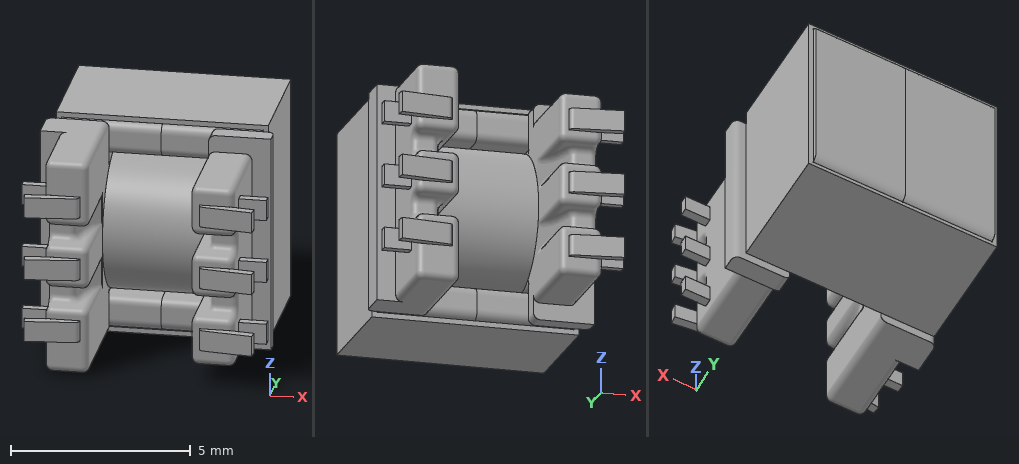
import cadquery as cq
import math


core_length = 5.7
core_depth = 3.9
core_height = 6.17
core_edge_radius = 0.28
mouth_edge_radius = 0.25
cavity_radius = 2.125
cavity_half_length = 1.88
post_radius = 0.93
axis_y = -1.05

tape_thickness = 0.15
tape_width = 3.58

edge_radius = 0.2
inner_face_x = 1.45
flange_radius = 2.065
tube_radius = 1.25
leg_outer_x = 2.68
leg_top_y = -2.06
leg_bottom_y = -5.33
ledge_outer_x = 3.22
ledge_height = 6.31
left_leg_height = ledge_height
right_leg_height = 5.33
left_ledge_thickness = 1.025
right_ledge_thickness = 0.525

pin_pitch = 1.85
notch_width = 0.6
notch_floor_y = -4.78
ramp_start_x = 1.94
ramp_angle = math.radians(15)

pin_width = 0.6
pin_thickness = 0.25
stub_outer_x = 3.46
stub_center_y = -4.55
foot_inner_x = 1.69
foot_tip_x = 3.22
foot_tip_y = -5.66
foot_angle = math.radians(7)
foot_bend_radius = 0.15
foot_burial = 0.1

overlap = 0.3


def block(x_range, y_range, height):
    """Box over the given X and Y ranges, centred on Z = 0."""
    length = x_range[1] - x_range[0]
    depth = y_range[1] - y_range[0]
    box = cq.Workplane("XY").box(length, depth, height, centered=(False, False, True))
    return box.translate((x_range[0], y_range[0], 0))


def x_cylinder(radius, x_start, x_end):
    """Cylinder about the winding axis."""
    disc = cq.Workplane("YZ", origin=(x_start, 0, 0)).center(axis_y, 0).circle(radius)
    return disc.extrude(x_end - x_start)


def make_tape():
    outer = cq.Workplane("XZ").rect(core_length + 2 * tape_thickness, core_height + 2 * tape_thickness)
    return outer.rect(core_length, core_height).extrude(tape_width / 2, both=True)


def make_core_half():
    """Core half on the +X side."""
    front_y = -core_depth / 2
    half = block((0, core_length / 2), (front_y, core_depth / 2), core_height)
    half = half.edges("|X").fillet(core_edge_radius)
    half = half.cut(x_cylinder(cavity_radius, 0, cavity_half_length))
    half = half.cut(block((0, cavity_half_length), (front_y, axis_y), 2 * cavity_radius))
    mouth = cq.selectors.BoxSelector(
        (-overlap, front_y - overlap, -cavity_radius - overlap / 2),
        (cavity_half_length, front_y + overlap, cavity_radius + overlap / 2),
    )
    half = half.edges("|X").edges(mouth).fillet(mouth_edge_radius)
    return half.union(x_cylinder(post_radius, 0, cavity_half_length))


def make_flared_slot():
    """Slot through a leg along Y, flared by a quarter round at each side of its inner mouth."""
    half_width = notch_width / 2
    mouth = half_width + edge_radius
    flare_end_x = inner_face_x + edge_radius
    far_x = leg_outer_x + overlap
    diagonal = edge_radius * math.sqrt(0.5)
    plan = (
        cq.Workplane("XZ", origin=(0, leg_top_y, 0))
        .moveTo(inner_face_x, -mouth)
        .threePointArc((flare_end_x - diagonal, diagonal - mouth), (flare_end_x, -half_width))
        .lineTo(far_x, -half_width)
        .lineTo(far_x, half_width)
        .lineTo(flare_end_x, half_width)
        .threePointArc((flare_end_x - diagonal, mouth - diagonal), (inner_face_x, mouth))
        .close()
    )
    return plan.extrude(leg_top_y - leg_bottom_y + overlap)


def make_ramp_envelope():
    """Space below the notch floor and below the ramp that climbs from it to the inner face."""
    run = ramp_start_x - inner_face_x + overlap
    ramp_end = (ramp_start_x - run, notch_floor_y + run / math.tan(ramp_angle))
    open_y = leg_bottom_y - overlap
    far_x = leg_outer_x + overlap
    envelope = (
        cq.Workplane("XY")
        .moveTo(ramp_end[0], open_y)
        .lineTo(far_x, open_y)
        .lineTo(far_x, notch_floor_y)
        .lineTo(ramp_start_x, notch_floor_y)
        .lineTo(*ramp_end)
        .close()
        .extrude(pin_pitch / 2, both=True)
    )
    ridge = cq.selectors.NearestToPointSelector((ramp_start_x, notch_floor_y, 0))
    return envelope.edges("|Z").edges(ridge).fillet(edge_radius)


def make_notch_cutter():
    """Notch and ramped channel, with rounded corners where their floor meets the side walls."""
    blank = block((inner_face_x, leg_outer_x), (leg_bottom_y, leg_top_y), ledge_height)
    notched = blank.cut(make_flared_slot().intersect(make_ramp_envelope()))
    floor_region = cq.selectors.BoxSelector(
        (inner_face_x, notch_floor_y - edge_radius / 2, -pin_pitch / 2),
        (leg_outer_x, leg_top_y, pin_pitch / 2),
    )
    floor_edges = notched.edges(floor_region).edges("not (|Z or |Y)")
    return blank.cut(floor_edges.fillet(edge_radius))


def make_leg(height):
    """Leg with both notches and its free edges rounded."""
    leg = block((inner_face_x, leg_outer_x), (leg_bottom_y, leg_top_y), height)
    notch = make_notch_cutter()
    for z in (-pin_pitch / 2, pin_pitch / 2):
        leg = leg.cut(notch.translate((0, 0, z)))
    bottom_edges = leg.faces("<Y").edges()
    outer_edges = leg.faces(">X").edges("not >Y")
    inner_corners = leg.faces("<X").edges("<Z or >Z")
    return bottom_edges.add(outer_edges).add(inner_corners).fillet(edge_radius)


def make_ledge(thickness):
    """Plate that widens the top of a leg towards the outside."""
    ledge = block((inner_face_x, ledge_outer_x), (leg_top_y - thickness, leg_top_y), ledge_height)
    ledge = ledge.faces("<X").edges("|Y").fillet(edge_radius)
    return ledge.faces(">X").edges(">Y").fillet(edge_radius)


def make_flange():
    """U-shaped flange reaching into the core, with a rounded bore for the post."""
    foot_y = leg_top_y - right_ledge_thickness
    flange = (
        cq.Workplane("YZ", origin=(inner_face_x, 0, 0))
        .moveTo(foot_y, -flange_radius)
        .lineTo(axis_y, -flange_radius)
        .threePointArc((axis_y + flange_radius, 0), (axis_y, flange_radius))
        .lineTo(foot_y, flange_radius)
        .close()
        .extrude(cavity_half_length - inner_face_x)
    )
    flange = flange.faces("<X").edges("not <Y").fillet(edge_radius)
    flange = flange.union(x_cylinder(tube_radius, 0, cavity_half_length))
    flange = flange.cut(x_cylinder(post_radius, 0, cavity_half_length))
    return flange.faces(">X").edges("%CIRCLE").edges("<Y").fillet(edge_radius)


def make_pin():
    """Straight stub at the side and sloping foot below the leg."""
    buried_x = (inner_face_x + leg_outer_x) / 2
    stub_y = (stub_center_y - pin_thickness / 2, stub_center_y + pin_thickness / 2)
    stub = block((buried_x, stub_outer_x), stub_y, pin_width)
    slope = math.tan(foot_angle)
    bend_y = foot_tip_y + (foot_tip_x - foot_inner_x) * slope
    tip_top = (
        foot_tip_x + pin_thickness * math.sin(foot_angle),
        foot_tip_y + pin_thickness * math.cos(foot_angle),
    )
    buried_y = leg_bottom_y + foot_burial
    upper_start = (tip_top[0] - (buried_y - tip_top[1]) / slope, buried_y)
    foot = (
        cq.Workplane("XY", origin=(0, 0, -pin_width / 2))
        .moveTo(foot_tip_x, foot_tip_y)
        .lineTo(*tip_top)
        .lineTo(*upper_start)
        .lineTo(foot_inner_x, buried_y)
        .lineTo(foot_inner_x, bend_y)
        .close()
        .extrude(pin_width)
    )
    bend = cq.selectors.NearestToPointSelector((foot_inner_x, bend_y, 0))
    return stub, foot.edges(bend).fillet(foot_bend_radius)


def make_bobbin_half(leg_height, ledge_thickness):
    """Half of the bobbin on the +X side, with its three pins."""
    half = make_flange().union(make_ledge(ledge_thickness)).union(make_leg(leg_height))
    for row in (-1, 0, 1):
        for bar in make_pin():
            half = half.union(bar.translate((0, 0, row * pin_pitch)))
    return half


def make_bobbin():
    right = make_bobbin_half(right_leg_height, right_ledge_thickness)
    left = make_bobbin_half(left_leg_height, left_ledge_thickness).mirror("YZ")
    return right.union(left)


def make_winding():
    coil = x_cylinder(flange_radius, -inner_face_x, inner_face_x)
    return coil.cut(x_cylinder(tube_radius, -inner_face_x, inner_face_x))


tape = make_tape()
right_core = make_core_half()
left_core = right_core.mirror("YZ")
bobbin = make_bobbin()
winding = make_winding()

bodies = [tape, right_core, left_core, bobbin, winding]
result = cq.Compound.makeCompound([body.solids().val() for body in bodies])